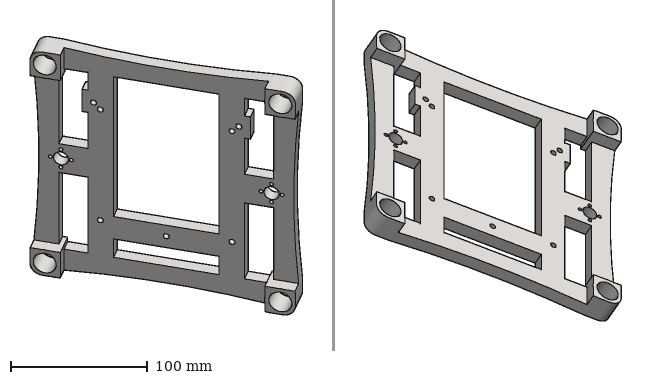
import cadquery as cq

outer_size = 201.74
half_size = outer_size / 2
plate_thickness = 10.0
boss_depth = 20.0
plate_front = 0.0
plate_back = plate_front + plate_thickness
boss_front = plate_back - boss_depth
corner_radius = 9.6

edge_arc_start = 80.5
edge_sag = 4.0

boss_inner = 77.65
boss_center = 89.5
boss_wall_diameter = 24.0
rod_hole_diameter = 17.4
rod_points = [(x, z) for x in (-boss_center, boss_center) for z in (-boss_center, boss_center)]

opening_outer = 81.5
window_half_width = 40.0
window_bottom = -44.75
low_window_top = -65.0
slot_inner = 59.5
bridge_half_height = 13.0

tab_outer = 64.0
tab_bottom = 45.5
tab_top = 65.7

screw_diameter = 4.4
inner_screw_offset = 50.0
outer_screw_offset = 55.2
center_screw_z = -54.7

motor_center = 80.0
shaft_diameter = 11.4
motor_screw_diameter = 2.8
motor_screw_offset = 8.0


def front_plane():
    """XZ sketch plane at the front of the bosses, extruding toward +Y with a negative length."""
    return cq.Workplane("XZ", origin=(0, boss_front, 0))


def block(x_min, x_max, z_min, z_max):
    """Rectangular block as thick as the plate."""
    size = (x_max - x_min, plate_thickness, z_max - z_min)
    return cq.Workplane("XY").box(*size, centered=False).translate((x_min, plate_front, z_min))


def mirrored_block(x_min, x_max, z_min, z_max):
    """A plate-thick block and its mirror image across the YZ plane."""
    one_side = block(x_min, x_max, z_min, z_max)
    return one_side.union(one_side.mirror("YZ"))


def cylinders(points, diameter):
    """Full-depth cylinders along Y at the given (x, z) points."""
    return front_plane().pushPoints(points).circle(diameter / 2).extrude(-boss_depth)


def make_outline():
    """Full-depth frame outline with hollowed edges and rounded corners."""
    waist = half_size - edge_sag
    start = edge_arc_start
    side = half_size
    return (
        front_plane()
        .moveTo(-start, side)
        .threePointArc((0, waist), (start, side))
        .lineTo(side, side)
        .lineTo(side, start)
        .threePointArc((waist, 0), (side, -start))
        .lineTo(side, -side)
        .lineTo(start, -side)
        .threePointArc((0, -waist), (-start, -side))
        .lineTo(-side, -side)
        .lineTo(-side, -start)
        .threePointArc((-waist, 0), (-side, start))
        .lineTo(-side, side)
        .close()
        .extrude(-boss_depth)
        .edges("|Y")
        .edges(">X or <X")
        .edges(">Z or <Z")
        .fillet(corner_radius)
    )


def make_openings():
    """Middle window, low window and the four side slots, as solids to remove."""
    window = block(-window_half_width, window_half_width, window_bottom, opening_outer)
    low_window = block(-window_half_width, window_half_width, -opening_outer, low_window_top)
    upper_slots = mirrored_block(slot_inner, opening_outer, bridge_half_height, opening_outer)
    lower_slots = mirrored_block(slot_inner, opening_outer, -opening_outer, -bridge_half_height)
    return window.union(low_window).union(upper_slots).union(lower_slots)


def make_plate():
    """Flat frame with its openings and the two tabs."""
    slab = block(-half_size, half_size, -half_size, half_size)
    tabs = mirrored_block(slot_inner, tab_outer, tab_bottom, tab_top)
    return slab.cut(make_openings()).union(tabs)


def make_bosses():
    """Four full-depth square corner blocks; the round rod wall bulges slightly past their inner sides."""
    boss_size = half_size - boss_inner
    boss_middle = (half_size + boss_inner) / 2
    squares = (
        front_plane()
        .rect(2 * boss_middle, 2 * boss_middle, forConstruction=True)
        .vertices()
        .rect(boss_size, boss_size)
        .extrude(-boss_depth)
    )
    return squares.union(cylinders(rod_points, boss_wall_diameter))


def make_screw_holes():
    """Screw holes beside the middle window and below it."""
    points = [(0, center_screw_z)]
    for side in (-1, 1):
        points.append((side * inner_screw_offset, inner_screw_offset))
        points.append((side * inner_screw_offset, -inner_screw_offset))
        points.append((side * outer_screw_offset, outer_screw_offset))
    return cylinders(points, screw_diameter)


def make_motor_holes():
    """Shaft holes and their screw circles on both bridges."""
    shaft_points = []
    screw_points = []
    for x in (-motor_center, motor_center):
        shaft_points.append((x, 0))
        for step in (-motor_screw_offset, motor_screw_offset):
            screw_points.append((x + step, 0))
            screw_points.append((x, step))
    return cylinders(shaft_points, shaft_diameter).union(cylinders(screw_points, motor_screw_diameter))


def make_rod_holes():
    """Through holes in the four corner bosses."""
    return cylinders(rod_points, rod_hole_diameter)


result = make_plate().union(make_bosses()).intersect(make_outline())
result = result.cut(make_rod_holes()).cut(make_screw_holes()).cut(make_motor_holes())